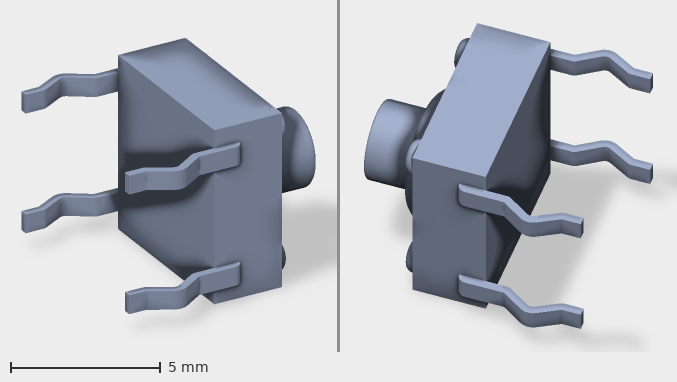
import cadquery as cq
import math


case_side = 6.5
base_depth = 2.3
cover_depth = 0.3
cover_face_y = base_depth + cover_depth

rivet_radius = 0.6
rivet_height = 0.4
rivet_rounding = 0.3
rivet_spacing = 4.87

collar_base_radius = 2.7
collar_height = 0.8
collar_slope = math.radians(45)
collar_rounding = 0.7
collar_top_radius = collar_base_radius - collar_height / math.tan(collar_slope)
collar_top_y = cover_face_y + collar_height
button_radius = 1.4
button_top_y = 5.0
button_rounding = 0.1

leg_width = 0.7
leg_spacing = 4.47
leg_thickness = 0.3
leg_root_x = 3.55
leg_root_y = 0.94
leg_upper_bend_y = -0.75
leg_apex_x = 4.135
leg_apex_y = -1.8
leg_apex_radius = 0.55
leg_lower_bend_y = -2.83
leg_tip_x = 3.64
leg_tip_y = -3.5


def square_plate(start_y, depth):
    """Square plate centred on the Y axis, growing toward +Y."""
    plate = cq.Workplane("XY").box(case_side, depth, case_side)
    return plate.translate((0, start_y + depth / 2, 0))


def cylinder_along_y(radius, start_y, height):
    return cq.Workplane("XZ", origin=(0, start_y, 0)).circle(radius).extrude(-height)


def shifted(point, distance, angle):
    """Point moved by a distance in a direction of the XY plane."""
    return (point[0] + distance * math.cos(angle), point[1] + distance * math.sin(angle))


def tangent_normal(point, center, radius, side):
    """Direction from the center to where a line from the point touches the circle."""
    dx = point[0] - center[0]
    dy = point[1] - center[1]
    return math.atan2(dy, dx) + side * math.acos(radius / math.hypot(dx, dy))


def make_leg():
    """One leg on the +X side, centred on Z = 0, with its outline in the XY plane."""
    upper_bend = (leg_root_x, leg_upper_bend_y)
    lower_bend = (leg_tip_x, leg_lower_bend_y)
    apex_center = (leg_apex_x - leg_apex_radius, leg_apex_y)
    upper_normal = tangent_normal(upper_bend, apex_center, leg_apex_radius, -1)
    lower_normal = tangent_normal(lower_bend, apex_center, leg_apex_radius, 1)
    inner_radius = leg_apex_radius - leg_thickness
    root_corner_center = (leg_root_x - leg_thickness, leg_root_y - leg_thickness)
    outline = (
        cq.Workplane("XY", origin=(0, 0, -leg_width / 2))
        .moveTo(leg_root_x - leg_thickness, leg_root_y)
        .threePointArc(
            shifted(root_corner_center, leg_thickness, math.pi / 4),
            (leg_root_x, leg_root_y - leg_thickness),
        )
        .lineTo(*upper_bend)
        .lineTo(*shifted(apex_center, leg_apex_radius, upper_normal))
        .threePointArc(
            shifted(apex_center, leg_apex_radius, 0),
            shifted(apex_center, leg_apex_radius, lower_normal),
        )
        .lineTo(*lower_bend)
        .lineTo(leg_tip_x, leg_tip_y)
        .lineTo(leg_tip_x - leg_thickness, leg_tip_y)
        .lineTo(*shifted(lower_bend, -leg_thickness, 0))
        .threePointArc(
            shifted(lower_bend, -leg_thickness, lower_normal / 2),
            shifted(lower_bend, -leg_thickness, lower_normal),
        )
        .lineTo(*shifted(apex_center, inner_radius, lower_normal))
        .threePointArc(
            shifted(apex_center, inner_radius, 0),
            shifted(apex_center, inner_radius, upper_normal),
        )
        .lineTo(*shifted(upper_bend, -leg_thickness, upper_normal))
        .threePointArc(
            shifted(upper_bend, -leg_thickness, upper_normal / 2),
            shifted(upper_bend, -leg_thickness, 0),
        )
        .close()
    )
    return outline.extrude(leg_width)


def make_base():
    """Square base block carrying the four legs."""
    base = square_plate(0, base_depth)
    right_leg = make_leg()
    left_leg = right_leg.mirror("YZ")
    for z in (-leg_spacing / 2, leg_spacing / 2):
        for leg in (right_leg, left_leg):
            base = base.union(leg.translate((0, 0, z)))
    return base


def make_collar():
    """Truncated cone with a rounded top edge."""
    collar = (
        cq.Workplane("XY")
        .moveTo(0, cover_face_y)
        .lineTo(collar_base_radius, cover_face_y)
        .lineTo(collar_top_radius, collar_top_y)
        .lineTo(0, collar_top_y)
        .close()
        .revolve(360, (0, 0, 0), (0, 1, 0))
    )
    return collar.faces(">Y").edges().fillet(collar_rounding)


def make_cover():
    """Cover plate with its rivet heads, collar and button."""
    cover = square_plate(base_depth, cover_depth).union(make_collar())

    button = cylinder_along_y(button_radius, cover_face_y, button_top_y - cover_face_y)
    cover = cover.union(button.faces(">Y").edges().fillet(button_rounding))

    rivet = cylinder_along_y(rivet_radius, cover_face_y, rivet_height)
    rivet = rivet.faces(">Y").edges().fillet(rivet_rounding)
    for x in (-rivet_spacing / 2, rivet_spacing / 2):
        for z in (-rivet_spacing / 2, rivet_spacing / 2):
            cover = cover.union(rivet.translate((x, 0, z)))
    return cover


base = make_base()
cover = make_cover()
result = cq.Compound.makeCompound([base.val(), cover.val()])